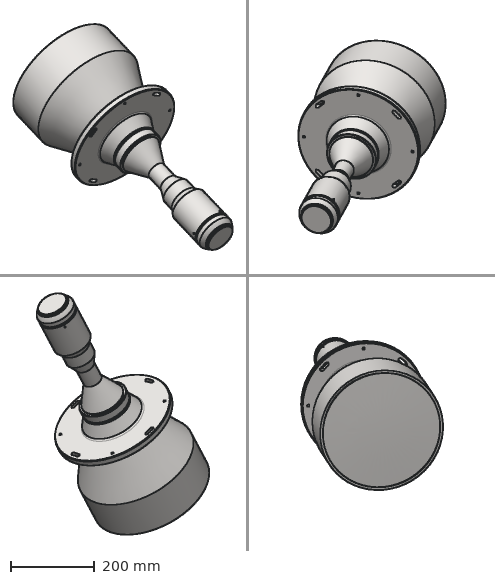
import cadquery as cq
import math


total_length = 624.5
hood_end = 100.0
front_cone_end = 209.0
flange_front = 228.5
flange_thickness = 17.0
flange_back = flange_front + flange_thickness
rear_cone_end = 281.0
relief_start = 283.0
ring_start = 286.0
ring_end = 308.0
tail_cone_start = 310.5
waist_start = 370.0
waist_end = 418.0
collar_start = 447.0
collar_end = 480.0
barrel_start = 497.5
groove_start = 587.5
groove_width = 4.0
barrel_end = 605.0
cap_start = 618.0

hood_radius = 150.0
neck_radius = 95.5
rear_cone_radius = 77.5
ring_radius = 61.0
tail_cone_radius = 54.5
waist_radius = 24.0
collar_radius = 37.5
barrel_radius = 48.0
groove_depth = 2.0
nose_radius = 40.0
cap_radius = 38.0

neck_fillet = 12.5
rear_fillet = 4.0
flange_chamfer = 2.0
ring_relief_depth = 1.0
ring_chamfer = 1.0
bolt_circle_radius = 135.0
slot_length = 26.0
slot_width = 9.0
pin_hole_diameter = 5.5
opening_count = 4
opening_half_step = 180 / opening_count

screw_count = 3
screw_station = 580.0
screw_first_angle = 48.7
screw_diameter = 3.0
screw_depth = 2.0

lens_radius = 143.0
lens_edge_depth = 3.0
nose_bulge = 1.0
cap_chamfer = 2.0


def turned_body():
    """Solid of revolution carrying all the cylinders, cones, the flange and the domed front lens."""
    sphere_radius = (lens_radius**2 + lens_edge_depth**2) / (2 * lens_edge_depth)
    dome_mid_radius = lens_radius / 2
    dome_mid_depth = sphere_radius - math.sqrt(sphere_radius**2 - dome_mid_radius**2)
    nose_middle = ((barrel_end + cap_start) / 2, (barrel_radius + nose_radius) / 2 + nose_bulge)
    neck_fillet_start = flange_front - neck_fillet
    rear_fillet_end = flange_back + rear_fillet
    arc_inset = math.sqrt(0.5)
    neck_fillet_middle = (
        neck_fillet_start + neck_fillet * arc_inset,
        neck_radius + neck_fillet * (1 - arc_inset),
    )
    rear_fillet_middle = (
        rear_fillet_end - rear_fillet * arc_inset,
        rear_cone_radius + rear_fillet * (1 - arc_inset),
    )
    groove_floor = barrel_radius - groove_depth
    relief_radius = ring_radius - ring_relief_depth
    profile = (
        cq.Workplane("XY")
        .moveTo(0, 0)
        .threePointArc((dome_mid_depth, dome_mid_radius), (lens_edge_depth, lens_radius))
        .lineTo(0, lens_radius)
        .lineTo(0, hood_radius)
        .lineTo(hood_end, hood_radius)
        .lineTo(front_cone_end, neck_radius)
        .lineTo(neck_fillet_start, neck_radius)
        .threePointArc(neck_fillet_middle, (flange_front, neck_radius + neck_fillet))
        .lineTo(flange_front, hood_radius - flange_chamfer)
        .lineTo(flange_front + flange_chamfer, hood_radius)
        .lineTo(flange_back - flange_chamfer, hood_radius)
        .lineTo(flange_back, hood_radius - flange_chamfer)
        .lineTo(flange_back, rear_cone_radius + rear_fillet)
        .threePointArc(rear_fillet_middle, (rear_fillet_end, rear_cone_radius))
        .lineTo(rear_cone_end, ring_radius)
        .lineTo(relief_start, ring_radius)
        .lineTo(relief_start, relief_radius)
        .lineTo(ring_start, relief_radius)
        .lineTo(ring_start + ring_chamfer, ring_radius)
        .lineTo(ring_end - ring_chamfer, ring_radius)
        .lineTo(ring_end, ring_radius - ring_chamfer)
        .lineTo(ring_end, tail_cone_radius)
        .lineTo(tail_cone_start, tail_cone_radius)
        .lineTo(waist_start, waist_radius)
        .lineTo(waist_end, waist_radius)
        .lineTo(collar_start, collar_radius)
        .lineTo(collar_end, collar_radius)
        .lineTo(barrel_start, barrel_radius)
        .lineTo(groove_start, barrel_radius)
        .lineTo(groove_start, groove_floor)
        .lineTo(groove_start + groove_width, groove_floor)
        .lineTo(groove_start + groove_width, barrel_radius)
        .lineTo(barrel_end, barrel_radius)
        .threePointArc(nose_middle, (cap_start, nose_radius))
        .lineTo(cap_start, cap_radius)
        .lineTo(total_length - cap_chamfer, cap_radius)
        .lineTo(total_length, cap_radius - cap_chamfer)
        .lineTo(total_length, 0)
        .close()
    )
    return profile.revolve(360, (0, 0, 0), (1, 0, 0))


def flange_openings():
    """Four tangential slots on the diagonals and four pin holes between them."""
    plane = cq.Workplane("YZ", origin=(flange_front, 0, 0))
    slots = (
        plane.polarArray(bolt_circle_radius, opening_half_step, 360, opening_count)
        .slot2D(slot_length, slot_width, 90)
        .extrude(flange_thickness)
    )
    pins = (
        plane.polarArray(bolt_circle_radius, 0, 360, opening_count)
        .circle(pin_hole_diameter / 2)
        .extrude(flange_thickness)
    )
    return slots.add(pins).combine()


def set_screw_holes():
    """Shallow radial holes spaced evenly around the barrel."""
    holes = cq.Workplane("XY")
    for index in range(screw_count):
        angle = screw_first_angle + index * 360 / screw_count
        hole = (
            cq.Workplane("XZ", origin=(screw_station, barrel_radius, 0))
            .circle(screw_diameter / 2)
            .extrude(screw_depth)
            .rotate((0, 0, 0), (1, 0, 0), angle)
        )
        holes = holes.add(hole)
    return holes.combine()


result = turned_body().cut(flange_openings()).cut(set_screw_holes())